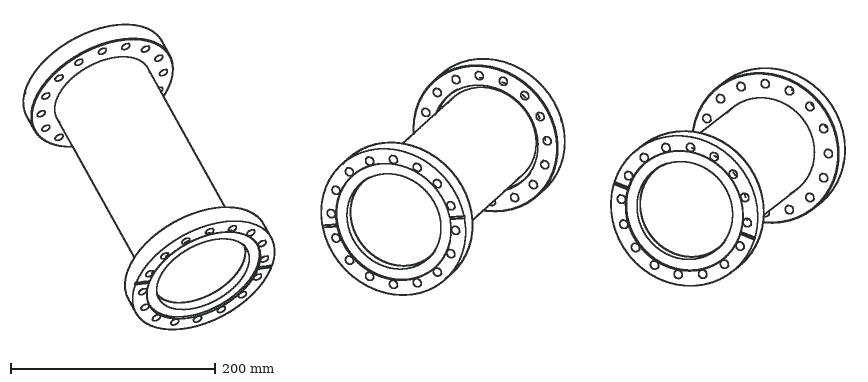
import cadquery as cq
LENGTH = 269.8
FLANGE_DIAMETER = 151.5
FLANGE_THICKNESS = 20.0
REAR_EDGE_CHAMFER = 0.8

BOLT_COUNT = 16
BOLT_PITCH_ANGLE = 360.0 / BOLT_COUNT
BOLT_CIRCLE_DIAMETER = 130.3
BOLT_HOLE_DIAMETER = 8.4
RING_TURN_ANGLE = BOLT_PITCH_ANGLE / 4

RECESS_DIAMETER = 121.0
KNIFE_DIAMETER = 115.5
KNIFE_DEPTH = 1.5
GROOVE_DEPTH = 2.5

LEAK_GROOVE_WIDTH = 2.2
LEAK_GROOVE_DEPTH = 1.0
LEAK_GROOVE_ANGLE = BOLT_PITCH_ANGLE / 2

TUBE_OUTER_DIAMETER = 101.7
TUBE_BORE_DIAMETER = 98.0
MOUTH_DIAMETER = 98.7
TUBE_END_DEPTH = 10.8

RING_BORE_DIAMETER = 110.5
INSERT_DIAMETER = 121.5
INSERT_DEPTH = 13.5


def disc(diameter, start, end):
    """Solid cylinder about the X axis from x = start to x = end."""
    return cq.Workplane("YZ").workplane(offset=start).circle(diameter / 2).extrude(end - start)


def turn(body, angle):
    """Rotate a body about the X axis."""
    return body.rotate((0, 0, 0), (1, 0, 0), angle)


def to_far_end(body):
    """Mirror a body whose face is at x = 0 to the other end of the tube."""
    return body.mirror("YZ").translate((LENGTH, 0, 0))


def flange_blank():
    """Flange disc with its face at x = 0 and a chamfered rear edge."""
    return disc(FLANGE_DIAMETER, 0, FLANGE_THICKNESS).faces(">X").edges().chamfer(REAR_EDGE_CHAMFER)


def cut_bolt_holes(body):
    hole = disc(BOLT_HOLE_DIAMETER, 0, FLANGE_THICKNESS).translate((0, BOLT_CIRCLE_DIAMETER / 2, 0))
    for index in range(BOLT_COUNT):
        body = body.cut(turn(hole, index * BOLT_PITCH_ANGLE))
    return body


def cut_leak_grooves(body):
    """Cut two radial grooves in the face at x = 0, from the recess to the rim."""
    bar = cq.Workplane("XY").box(2 * LEAK_GROOVE_DEPTH, 2 * FLANGE_DIAMETER, LEAK_GROOVE_WIDTH)
    grooves = bar.cut(disc(RECESS_DIAMETER, -LEAK_GROOVE_DEPTH, LEAK_GROOVE_DEPTH))
    return body.cut(turn(grooves, -LEAK_GROOVE_ANGLE))


def cut_sealing_face(body):
    """Cut the recess and the conical step that leaves the knife edge, in the face at x = 0."""
    recess_radius = RECESS_DIAMETER / 2
    profile = [
        (0, 0),
        (0, recess_radius),
        (GROOVE_DEPTH, recess_radius),
        (KNIFE_DEPTH, KNIFE_DIAMETER / 2),
        (KNIFE_DEPTH, 0),
    ]
    recess = cq.Workplane("XY").polyline(profile).close().revolve(360, (0, 0, 0), (1, 0, 0))
    return body.cut(recess)


def cut_tube_seat(body):
    """Bore the mouth, then the wider seat that holds the tube end."""
    body = body.cut(disc(MOUTH_DIAMETER, 0, FLANGE_THICKNESS))
    return body.cut(disc(TUBE_OUTER_DIAMETER, TUBE_END_DEPTH, FLANGE_THICKNESS))


def make_tube():
    start = TUBE_END_DEPTH
    end = LENGTH - TUBE_END_DEPTH
    return disc(TUBE_OUTER_DIAMETER, start, end).cut(disc(TUBE_BORE_DIAMETER, start, end))


def make_fixed_flange():
    flange = cut_leak_grooves(cut_bolt_holes(flange_blank()))
    return cut_tube_seat(cut_sealing_face(flange))


def make_loose_ring():
    """Bolt ring with a recess for the insert and a bore that clears the tube."""
    ring = cut_leak_grooves(cut_bolt_holes(flange_blank()))
    ring = ring.cut(disc(RING_BORE_DIAMETER, 0, FLANGE_THICKNESS))
    ring = ring.cut(disc(INSERT_DIAMETER, 0, INSERT_DEPTH))
    return turn(to_far_end(ring), -RING_TURN_ANGLE)


def make_insert():
    """Sealing insert on the tube end, seated in the loose ring."""
    insert = disc(INSERT_DIAMETER, 0, INSERT_DEPTH)
    return to_far_end(cut_tube_seat(cut_sealing_face(insert)))


tube = make_tube()
fixed_flange = make_fixed_flange()
loose_ring = make_loose_ring()
insert = make_insert()

result = cq.Compound.makeCompound([tube.val(), fixed_flange.val(), loose_ring.val(), insert.val()])